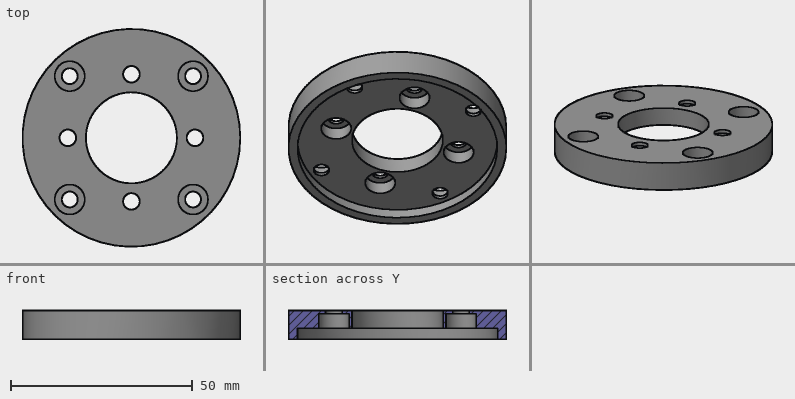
import cadquery as cq

disc_diameter = 60.0
disc_thickness = 8.0
bore_diameter = 25.0
top_z = disc_thickness / 2
bottom_z = -disc_thickness / 2

rim_width = 2.5
recess_diameter = disc_diameter - 2 * rim_width
recess_depth = 3.0
recess_floor_z = bottom_z + recess_depth

counterbore_diameter = 8.25
counterbore_depth = 4.0
holes_per_set = 4

inner_hole_diameter = 4.5
inner_circle_diameter = 35.0
inner_start_angle = 0.0

outer_hole_diameter = 4.3
outer_circle_diameter = 48.0
outer_start_angle = 45.0


def cylinder(diameter, start_z, end_z):
    """Upright cylinder on the Z axis between two heights."""
    return cq.Workplane("XY", origin=(0, 0, start_z)).circle(diameter / 2).extrude(end_z - start_z)


def bolt_circle(circle_diameter, start_angle, z):
    """Evenly spaced hole centres at height z."""
    return cq.Workplane("XY", origin=(0, 0, z)).polarArray(
        circle_diameter / 2, start_angle, 360, holes_per_set, rotate=False
    )


def through_holes(diameter, circle_diameter, start_angle):
    """Cutters for a set of holes through the full thickness."""
    centres = bolt_circle(circle_diameter, start_angle, bottom_z)
    return centres.circle(diameter / 2).extrude(disc_thickness)


def counterbores(circle_diameter, start_angle, bottom):
    """Cutters for a set of counterbores whose lower ends lie at height bottom."""
    centres = bolt_circle(circle_diameter, start_angle, bottom)
    return centres.circle(counterbore_diameter / 2).extrude(counterbore_depth)


def make_disc():
    """Disc with its central bore and the underside recess."""
    disc = cylinder(disc_diameter, bottom_z, top_z)
    disc = disc.cut(cylinder(bore_diameter, bottom_z, top_z))
    return disc.cut(cylinder(recess_diameter, bottom_z, recess_floor_z))


def cut_inner_screws(body):
    body = body.cut(through_holes(inner_hole_diameter, inner_circle_diameter, inner_start_angle))
    return body.cut(counterbores(inner_circle_diameter, inner_start_angle, recess_floor_z))


def cut_outer_screws(body):
    seat_z = top_z - counterbore_depth
    body = body.cut(through_holes(outer_hole_diameter, outer_circle_diameter, outer_start_angle))
    return body.cut(counterbores(outer_circle_diameter, outer_start_angle, seat_z))


result = cut_outer_screws(cut_inner_screws(make_disc()))